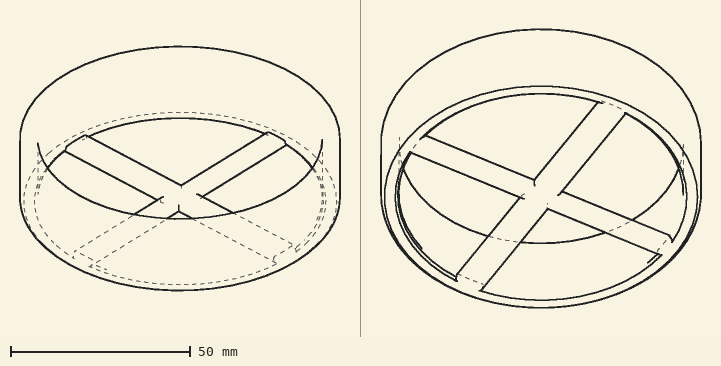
import cadquery as cq

outer_diameter = 89.0
inner_diameter = 79.0
height = 22.0
top_fillet = 1.0
bottom_chamfer = 1.0
bottom_blend_radius = 1.0

spoke_along_x_width = 8.5
spoke_along_y_width = 7.0
spoke_thickness = 2.0
spoke_fillet = 0.7


def make_ring():
    """Tube with a rounded top rim and a chamfered bottom rim blended into both walls."""
    ring = cq.Workplane("XY").circle(outer_diameter / 2).circle(inner_diameter / 2).extrude(height)
    ring = ring.faces(">Z").edges().fillet(top_fillet)
    ring = ring.faces("<Z").edges().chamfer(bottom_chamfer)
    chamfer_wall_edges = cq.selectors.BoxSelector(
        (-outer_diameter, -outer_diameter, bottom_chamfer / 2),
        (outer_diameter, outer_diameter, bottom_chamfer * 3 / 2),
    )
    return ring.edges("%CIRCLE").edges(chamfer_wall_edges).fillet(bottom_blend_radius)


def make_bar(size_x, size_y):
    """Flat bar centred on the axis, resting on the bottom plane."""
    return cq.Workplane("XY").box(size_x, size_y, spoke_thickness, centered=(True, True, False))


def make_cross():
    """Two crossed bars ending inside the ring wall, with all horizontal side edges rounded."""
    spoke_length = (outer_diameter + inner_diameter) / 2
    bar_along_x = make_bar(spoke_length, spoke_along_x_width)
    bar_along_y = make_bar(spoke_along_y_width, spoke_length)
    cross = bar_along_x.union(bar_along_y)
    return cross.faces("|Z").edges().fillet(spoke_fillet)


result = make_ring().union(make_cross())